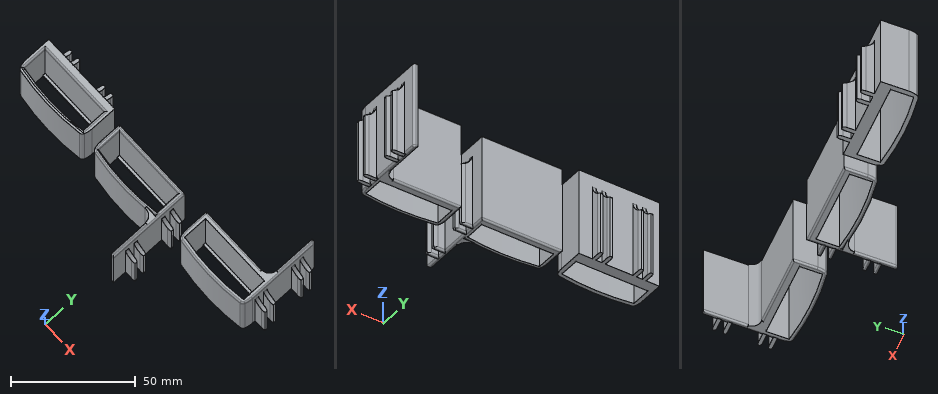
import cadquery as cq
import math

height = 42.0
width = 39.0
wall = 2.1
front_wall = 2.0
rim_round = 0.8
mouth_round = 1.0
slim_mouth_round = 0.4
web_round = 4.0
plate_end_round = 1.1

bow_radius = 111.5
corner_radius = 2.0
flank_radius = 11.2
flank_turn = 19.0

cavity_back = 14.6
ledge_depth = 1.3
ledge_height = 2.1

fin_thickness = 1.8
fin_pitch = 4.6
pair_pitch = 19.7
fin_tip_length = 1.8
fin_tip_thickness = 1.1
fin_root = 0.7
top_cut_radius = 8.2
top_cut_beyond_tip = 2.6
top_cut_below_rim = 4.5

plain_left, plain_front = 0.0, 23.5
front_plate_left, front_plate_front = 45.0, 22.6
back_plate_left, back_plate_front = 94.9, 23.5

plain_depth = 18.5
front_plate_depth = 16.6
back_plate_depth = 17.0
back_plate_reach = 40.5
plain_fin_length = 5.5
front_plate_fin_length = 5.3
back_plate_fin_length = 5.5
back_plate_fin_shift = -0.3

half = width / 2
web_x = half - wall - web_round


def outer_outline(depth):
    """Sleeve outline: straight back and sides, two-radius front corners and a bowed front."""
    turn = math.radians(flank_turn)
    flank_end_x = half - flank_radius * (1 - math.cos(turn))
    centre_x = flank_end_x - corner_radius * math.cos(turn)
    bow_turn = math.asin(centre_x / (bow_radius - corner_radius))
    centre_y = bow_radius - (bow_radius - corner_radius) * math.cos(bow_turn)
    flank_end_y = centre_y - corner_radius * math.sin(turn)
    flank_start_y = flank_end_y + flank_radius * math.sin(turn)
    bow_x = bow_radius * math.sin(bow_turn)
    bow_y = bow_radius * (1 - math.cos(bow_turn))
    flank_mid_x = half - flank_radius * (1 - math.cos(turn / 2))
    flank_mid_y = flank_start_y - flank_radius * math.sin(turn / 2)
    corner_mid = (turn + math.pi / 2 - bow_turn) / 2
    corner_mid_x = centre_x + corner_radius * math.cos(corner_mid)
    corner_mid_y = centre_y - corner_radius * math.sin(corner_mid)
    return (
        cq.Workplane("XY")
        .moveTo(-half, depth)
        .lineTo(-half, flank_start_y)
        .threePointArc((-flank_mid_x, flank_mid_y), (-flank_end_x, flank_end_y))
        .threePointArc((-corner_mid_x, corner_mid_y), (-bow_x, bow_y))
        .threePointArc((0, 0), (bow_x, bow_y))
        .threePointArc((corner_mid_x, corner_mid_y), (flank_end_x, flank_end_y))
        .threePointArc((flank_mid_x, flank_mid_y), (half, flank_start_y))
        .lineTo(half, depth)
        .close()
    )


def cavity(back, floor_z):
    """Prism of the cavity from a floor level to the top, its back face at the given distance."""
    inner_half = half - wall
    inner_radius = bow_radius - front_wall
    side_y = bow_radius - math.sqrt(inner_radius**2 - inner_half**2)
    return (
        cq.Workplane("XY", origin=(0, 0, floor_z))
        .moveTo(-inner_half, back)
        .lineTo(-inner_half, side_y)
        .threePointArc((0, front_wall), (inner_half, side_y))
        .lineTo(inner_half, back)
        .close()
        .extrude(height - floor_z)
    )


def hollow(sleeve, mouth=0):
    """Cut the stepped cavity and round the inner edge of its mouth."""
    above_ledge = cavity(cavity_back, ledge_height)
    cutter = cavity(cavity_back - ledge_depth, 0).union(above_ledge)
    sleeve = sleeve.cut(cutter)
    if mouth:
        margin = mouth / 2
        edge_zone = cq.selectors.BoxSelector(
            (wall - half - margin, front_wall - margin, height - margin),
            (half - wall + margin, cavity_back + margin, height + margin),
        )
        sleeve = sleeve.edges(edge_zone).fillet(mouth)
    return sleeve


def fin(length, rounded_bottom):
    """One fin along +Y from a wall at Y = 0, its tip eased on both sides."""
    side = fin_thickness / 2
    tip_start = length - fin_tip_length
    tip_side = fin_tip_thickness / 2
    ease = side - tip_side
    ease_radius = (fin_tip_length**2 + ease**2) / (2 * ease)
    ease_turn = math.asin(fin_tip_length / ease_radius) / 2
    mid_side = side - ease_radius * (1 - math.cos(ease_turn))
    mid_y = tip_start + ease_radius * math.sin(ease_turn)
    blank = (
        cq.Workplane("XY")
        .moveTo(-side, -fin_root)
        .lineTo(-side, tip_start)
        .threePointArc((-mid_side, mid_y), (-tip_side, length))
        .lineTo(tip_side, length)
        .threePointArc((mid_side, mid_y), (side, tip_start))
        .lineTo(side, -fin_root)
        .close()
        .extrude(height)
    )
    if rounded_bottom:
        envelope = cq.Workplane("XY").box(
            fin_thickness, length + fin_root, height, centered=(True, False, False)
        )
        envelope = envelope.faces("<Z").edges("|Y or >Y").fillet(rim_round)
        blank = blank.intersect(envelope.translate((0, -fin_root, 0)))
    return blank.cut(fin_top_cut(length))


def fin_top_cut(length):
    """Cutter that gives a fin its concave top: a cylinder along X and all the space above its axis."""
    axis_z = height - top_cut_below_rim
    cylinder = (
        cq.Workplane("YZ", origin=(-fin_thickness, 0, 0))
        .center(length + top_cut_beyond_tip, axis_z)
        .circle(top_cut_radius)
        .extrude(2 * fin_thickness)
    )
    above = cq.Workplane("XY", origin=(0, 0, axis_z)).box(
        2 * fin_thickness, 2 * (length + fin_root), height, centered=(True, True, False)
    )
    return cylinder.union(above)


def fin_group(length, rounded_bottom=False):
    """Two pairs of fins, centred on X = 0."""
    one_fin = fin(length, rounded_bottom)
    return [
        one_fin.translate((pair_x + offset, 0, 0))
        for pair_x in (-pair_pitch / 2, pair_pitch / 2)
        for offset in (-fin_pitch / 2, fin_pitch / 2)
    ]


def plate_fins(length, middle_y, rounded_bottom=False):
    """Fin group standing on a mounting plate's outer face, toward +X."""
    return [
        one_fin.rotate((0, 0, 0), (0, 0, 1), -90).translate((half, middle_y, 0))
        for one_fin in fin_group(length, rounded_bottom)
    ]


def attach(sleeve, fins):
    """Join the fins to their sleeve as one solid."""
    for one_fin in fins:
        sleeve = sleeve.union(one_fin)
    return sleeve


def round_rims(body):
    """Round every edge of the flat top and bottom."""
    return body.faces("<Z or >Z").edges().fillet(rim_round)


def plate(start_y, end_y, rounded_x):
    """Rimmed mounting plate flush with the sleeve's +X side, one corner of its free end rounded."""
    slab = (
        cq.Workplane("XY")
        .center(half - wall / 2, (start_y + end_y) / 2)
        .rect(wall, abs(end_y - start_y))
        .extrude(height)
    )
    end_corner = cq.selectors.NearestToPointSelector((rounded_x, end_y, height / 2))
    return round_rims(slab.edges("|Z").edges(end_corner).fillet(plate_end_round))


def web(centre_y, foot, root_y):
    """Concave corner filling between plate and sleeve, its foot on the sleeve and its root inside the wall."""
    plate_x = web_x + web_round
    foot_turn = math.atan2(foot[1] - centre_y, foot[0] - web_x)
    mid_turn = foot_turn / 2
    mid = (web_x + web_round * math.cos(mid_turn), centre_y + web_round * math.sin(mid_turn))
    return (
        cq.Workplane("XY")
        .moveTo(plate_x, centre_y)
        .threePointArc(mid, foot)
        .lineTo(foot[0], root_y)
        .lineTo(plate_x + rim_round, root_y)
        .lineTo(plate_x + rim_round, centre_y)
        .close()
        .extrude(height)
    )


def plain_sleeve():
    sleeve = hollow(outer_outline(plain_depth).extrude(height), mouth_round)
    fins = [one_fin.translate((0, plain_depth, 0)) for one_fin in fin_group(plain_fin_length)]
    return attach(sleeve, fins)


def front_plate_sleeve():
    plate_end = front_plate_depth - width
    sleeve = round_rims(outer_outline(front_plate_depth).extrude(height))
    sleeve = sleeve.union(plate(front_plate_depth, plate_end, half - wall))
    web_y = bow_radius - math.sqrt((bow_radius + web_round) ** 2 - web_x**2)
    reach = bow_radius / (bow_radius + web_round)
    foot_y = bow_radius + (web_y - bow_radius) * reach
    sleeve = sleeve.union(web(web_y, (web_x * reach, foot_y), foot_y + rim_round))
    sleeve = hollow(sleeve, slim_mouth_round)
    middle_y = front_plate_depth - half
    return attach(sleeve, plate_fins(front_plate_fin_length, middle_y, rounded_bottom=True))


def back_plate_sleeve():
    sleeve = round_rims(outer_outline(back_plate_depth).extrude(height))
    sleeve = sleeve.union(plate(cavity_back, back_plate_reach, half))
    web_y = back_plate_depth + web_round
    sleeve = sleeve.union(web(web_y, (web_x, back_plate_depth), back_plate_depth - rim_round))
    sleeve = hollow(sleeve)
    middle_y = back_plate_reach - half + back_plate_fin_shift
    return attach(sleeve, plate_fins(back_plate_fin_length, middle_y))


plain = plain_sleeve().translate((plain_left + half, plain_front, 0))
front_plated = front_plate_sleeve().translate((front_plate_left + half, front_plate_front, 0))
back_plated = back_plate_sleeve().translate((back_plate_left + half, back_plate_front, 0))

result = cq.Compound.makeCompound([*plain.solids().vals(), *front_plated.solids().vals(), *back_plated.solids().vals()])